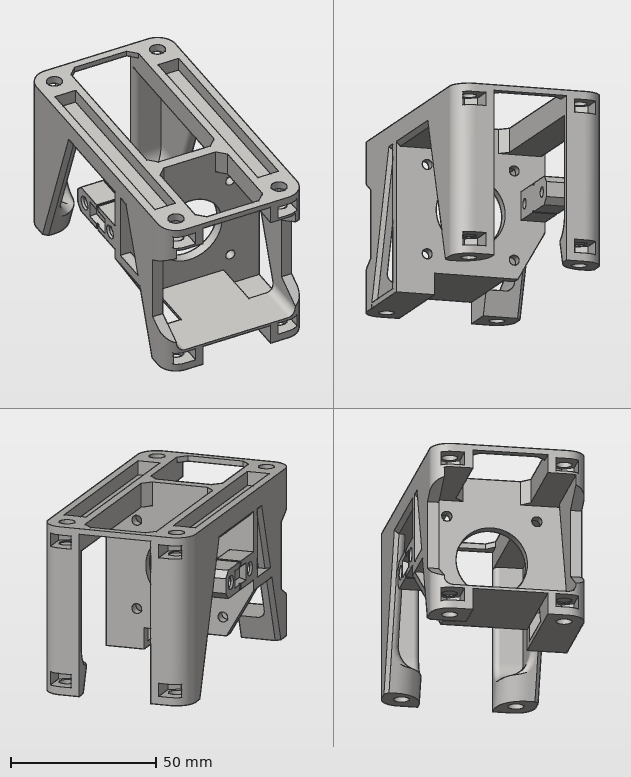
import cadquery as cq
import math

length = 104.0
width = 54.0
height = 60.0
corner_radius = 7.0
mid_height = height / 2
half_length = length / 2
half_width = width / 2

side_wall = 4.0
end_wall = 3.0
slab_bottom = 51.5
rail_thickness = 2.0
channel_half_width = 13.1
hollow_half_width = half_width - side_wall
foot_top = 8.6
past = 10.4

top_window_chamfer = 3.0
slot_length = 74.0
slot_width = 8.0
slot_depth = 5.0
slot_offset = half_width - corner_radius
bolt_diameter = 5.5
bolt_depth = 8.0
nut_across_flats = 8.0
nut_height = 4.7
nut_inset = 2.9

lean = math.radians(20)
window_half_base = 38.9
window_bevel = 1.6
window_bevel_depth = 1.5

foot_rounding = 10.0
hollow_floor_radius = 7.8
hollow_rim_radius = 2.0

motor_floor_radius = 3.0
notch_bottom_x = 41.1
notch_half_height = 12.1
notch_flare = math.radians(30)

plate_x = 13.1
plate_thickness = 4.0
plate_back = plate_x + plate_thickness
plate_bottom = 7.6
plate_bore = 25.0
screw_spacing = 31.5
screw_diameter = 3.5
gusset_angle = math.radians(30)
crossbar_bottom = 24.8
crossbar_height = 3.7
crossbar_end = 31.7
floor_end = 40.0

arm_end = -14.6
arm_height = 10.1
arm_thickness = 8.7
arm_chamfer = 2.4
arm_hole_x = 9.5
arm_countersink = 0.7
arm_pocket_length = 11.1
arm_pocket_height = 6.1
arm_pocket_bevel = 1.0
arm_pocket_depth = 2.1
groove_width = 1.0
groove_depth = 0.4


def box(x_min, x_max, y_min, y_max, z_min, z_max):
    """Axis-aligned block between two corners."""
    block = cq.Workplane("XY").box(x_max - x_min, y_max - y_min, z_max - z_min, centered=False)
    return block.translate((x_min, y_min, z_min))


def prism_along_y(points, y_min, y_max):
    """Prism of an XZ outline between two Y positions."""
    outline = cq.Workplane("XZ", origin=(0, y_max, 0)).polyline(points).close()
    return outline.extrude(y_max - y_min)


def both_sides(shape):
    """The shape together with its mirror image across the XZ plane."""
    return shape.union(shape.mirror("XZ"))


def slanted_x(z):
    """Half width of the side window at height z, at its narrow inner edge."""
    return window_half_base - z * math.tan(lean)


def rounded_block():
    """Full envelope with rounded vertical corners."""
    block = cq.Workplane("XY").rect(length, width).extrude(height)
    return block.edges("|Z").fillet(corner_radius)


def top_slab():
    """Top slab with two chamfered windows, thin end rails and two long slots."""
    slab = box(-half_length, half_length, -half_width, half_width, slab_bottom, height)
    rail_bottom = height - rail_thickness
    inner = half_length - end_wall
    for x_min, x_max in ((-inner, plate_x), (plate_back, inner)):
        window = box(x_min, x_max, -channel_half_width, channel_half_width, 0, height + past)
        slab = slab.cut(window.edges("|Z").chamfer(top_window_chamfer))
    for end in (-half_length, half_length):
        reach = end_wall + top_window_chamfer
        x_min, x_max = sorted((end, end - math.copysign(reach, end)))
        slab = slab.cut(box(x_min, x_max, -channel_half_width, channel_half_width, 0, rail_bottom))
    slots = (
        cq.Workplane("XY", origin=(0, 0, height))
        .pushPoints([(0, slot_offset), (0, -slot_offset)])
        .rect(slot_length, slot_width)
        .extrude(-slot_depth)
    )
    return slab.cut(slots)


def leg_outline(end_x):
    """XZ outline of a leg between an end face and the slanted window side."""
    side = math.copysign(1, end_x)
    return [
        (end_x, 0),
        (side * slanted_x(0), 0),
        (side * slanted_x(slab_bottom), slab_bottom),
        (end_x, slab_bottom),
    ]


def front_leg():
    """Leg at the -X, +Y corner: rounded foot below a hollow with a scooped floor."""
    leg = prism_along_y(leg_outline(-half_length), channel_half_width, half_width)
    nearest_edge = cq.selectors.NearestToPointSelector
    inner_corner = (-slanted_x(mid_height), channel_half_width, mid_height)
    rounded_leg = leg.edges(nearest_edge(inner_corner)).fillet(foot_rounding)

    back_x = side_wall - half_length
    hollow = box(back_x, 0, 0, hollow_half_width, foot_top, slab_bottom + past)
    hollow = hollow.edges("<Z and (>Y or <X)").fillet(hollow_floor_radius)
    leg = leg.cut(hollow)
    end_rim = nearest_edge((back_x, channel_half_width, mid_height))
    side_rim = nearest_edge((-slanted_x(mid_height), hollow_half_width, mid_height))
    leg = leg.edges(end_rim + side_rim).fillet(hollow_rim_radius)
    return leg.intersect(rounded_leg)


def rear_leg():
    """Leg at the +X, +Y corner: a block foot below a notched side wall."""
    leg = prism_along_y(leg_outline(half_length), channel_half_width, half_width)
    hollow = box(0, half_length, 0, hollow_half_width, foot_top, slab_bottom + past)
    leg = leg.cut(hollow.edges("|X and >Y and <Z").fillet(motor_floor_radius))
    flare_length = half_length - notch_bottom_x
    mouth = notch_half_height + flare_length * math.tan(notch_flare)
    notch = [
        (notch_bottom_x, mid_height - notch_half_height),
        (half_length, mid_height - mouth),
        (half_length, mid_height + mouth),
        (notch_bottom_x, mid_height + notch_half_height),
    ]
    return leg.cut(prism_along_y(notch, 0, half_width))


def window_bevels():
    """Tapered cutter that bevels the outer edge of the +Y side window."""
    side_shift = window_bevel / math.cos(lean)
    top = slab_bottom + window_bevel
    top_x = slanted_x(top) + side_shift
    base_x = slanted_x(-past) + side_shift
    outline = [(-base_x, -past), (base_x, -past), (top_x, top), (-top_x, top)]
    angle = math.degrees(math.atan2(window_bevel, window_bevel_depth))
    sketch = cq.Workplane("XZ", origin=(0, half_width, 0)).polyline(outline).close()
    return sketch.extrude(window_bevel_depth, taper=angle)


def bolt_and_nut_seats():
    """Blind bolt holes at top and bottom of every corner, each with a nut slot from the end face."""
    bolt_x = half_length - corner_radius
    bolt_y = half_width - corner_radius
    foot_seat = (0, nut_inset)
    slab_seat = (height - bolt_depth, height - nut_inset - nut_height)
    nut_corner_diameter = nut_across_flats / math.cos(math.pi / 6)
    half_slot = nut_across_flats / 2
    seats = cq.Workplane("XY")
    for side in (-1, 1):
        x_min, x_max = sorted((side * bolt_x, side * half_length))
        for y in (-bolt_y, bolt_y):
            for hole_z, nut_z in (foot_seat, slab_seat):
                hole = cq.Workplane("XY", origin=(side * bolt_x, y, hole_z)).circle(bolt_diameter / 2)
                nut = cq.Workplane("XY", origin=(side * bolt_x, y, nut_z)).polygon(6, nut_corner_diameter)
                entry = box(x_min, x_max, y - half_slot, y + half_slot, nut_z, nut_z + nut_height)
                seats = seats.union(hole.extrude(bolt_depth)).union(nut.extrude(nut_height)).union(entry)
    return seats


def motor_plate():
    """Upright motor plate with a gusset edge on the -Y side and a full-height foot on the +Y side."""
    gusset_y = (crossbar_bottom - plate_bottom) * math.tan(gusset_angle) - half_width
    outline = [
        (-half_width, slab_bottom + window_bevel),
        (-half_width, crossbar_bottom),
        (gusset_y, plate_bottom),
        (channel_half_width, plate_bottom),
        (channel_half_width, 0),
        (half_width, 0),
        (half_width, slab_bottom + window_bevel),
    ]
    plate = cq.Workplane("YZ", origin=(plate_x, 0, 0)).polyline(outline).close().extrude(plate_thickness)
    plate = plate.union(
        box(plate_x, plate_back, -channel_half_width, channel_half_width, slab_bottom, height)
    )
    bore = cq.Workplane("YZ", origin=(plate_x, 0, mid_height)).circle(plate_bore / 2)
    screws = (
        cq.Workplane("YZ", origin=(plate_x, 0, mid_height))
        .rect(screw_spacing, screw_spacing, forConstruction=True)
        .vertices()
        .circle(screw_diameter / 2)
    )
    return plate.cut(bore.extrude(plate_thickness)).cut(screws.extrude(plate_thickness))


def motor_supports():
    """Shelf under the motor, crossbar in the -Y window and floor in the +Y window."""
    shelf = box(plate_x, half_length, -channel_half_width, channel_half_width, plate_bottom, foot_top)
    crossbar = box(
        plate_x, crossbar_end, -half_width, -hollow_half_width,
        crossbar_bottom, crossbar_bottom + crossbar_height,
    )
    floor = box(plate_x, floor_end, channel_half_width, half_width, 0, rail_thickness)
    return shelf.union(crossbar).union(floor)


def arm():
    """Arm in the -Y window with two screw holes, a tapered pocket and a shallow groove around it."""
    arm_bottom = crossbar_bottom + crossbar_height
    arm_top = arm_bottom + arm_height
    arm_mid = arm_bottom + arm_height / 2
    front = -half_width
    back = front + arm_thickness
    body = box(arm_end, plate_x, front, back, arm_bottom, arm_top)
    body = body.edges("|Y and <X").chamfer(arm_chamfer)

    face = cq.Workplane("XZ", origin=(0, front, arm_mid))
    pocket_angle = math.degrees(math.atan2(arm_pocket_bevel, arm_pocket_depth))
    pocket = face.rect(arm_pocket_length, arm_pocket_height).extrude(-arm_pocket_depth, taper=pocket_angle)
    body = body.cut(pocket)

    mouth_radius = screw_diameter / 2 + arm_countersink
    for x in (-arm_hole_x, arm_hole_x):
        hole = face.center(x, 0).circle(screw_diameter / 2).extrude(-arm_thickness)
        mouth = face.center(x, 0).circle(mouth_radius).extrude(-arm_countersink, taper=45)
        body = body.cut(hole).cut(mouth)

    half_groove = groove_width / 2
    grooves = (
        box(-half_groove, half_groove, front, back, arm_top - groove_depth, arm_top)
        .union(box(-half_groove, half_groove, front, back, arm_bottom, arm_bottom + groove_depth))
        .union(box(-half_groove, half_groove, front, front + groove_depth, arm_bottom, arm_top))
    )
    return body.cut(grooves)


frame = top_slab().union(both_sides(front_leg())).union(both_sides(rear_leg()))
frame = frame.cut(both_sides(window_bevels()))
frame = frame.union(motor_plate()).union(motor_supports()).union(arm())
result = frame.intersect(rounded_block()).cut(bolt_and_nut_seats())